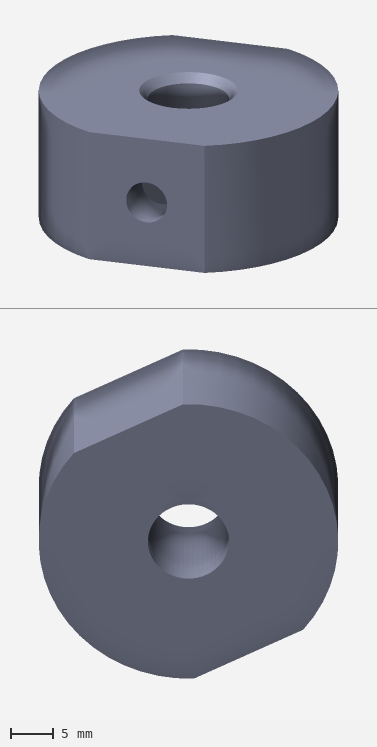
import cadquery as cq

disc_diameter = 35.0
width_across_flats = 32.0
height = 16.0

bore_diameter = 9.5
bore_chamfer = 1.0
bushing_top_depth = 2.0
bushing_outer_diameter = 15.0
bushing_length = height - bushing_top_depth

side_hole_diameter = 5.0
side_hole_depth = 6.0


def make_disc_with_flats():
    disc = cq.Workplane("XY").circle(disc_diameter / 2).extrude(height)
    flats = cq.Workplane("XY").rect(disc_diameter, width_across_flats).extrude(height)
    return disc.intersect(flats)


def make_side_hole():
    return (
        cq.Workplane("XZ", origin=(0, -width_across_flats / 2, height / 2))
        .circle(side_hole_diameter / 2)
        .extrude(-side_hole_depth)
    )


def make_chamfered_bore():
    """Revolved cutter: straight bore opening into a 45 degree chamfer at the top."""
    bore_radius = bore_diameter / 2
    return (
        cq.Workplane("XZ")
        .moveTo(0, 0)
        .lineTo(bore_radius, 0)
        .lineTo(bore_radius, height - bore_chamfer)
        .lineTo(bore_radius + bore_chamfer, height)
        .lineTo(0, height)
        .close()
        .revolve(360, (0, 0, 0), (0, 1, 0))
    )


def make_bushing_seat():
    return cq.Workplane("XY").circle(bushing_outer_diameter / 2).extrude(bushing_length)


def make_housing():
    body = make_disc_with_flats()
    body = body.cut(make_chamfered_bore())
    body = body.cut(make_bushing_seat())
    return body.cut(make_side_hole())


def make_bushing():
    """Plain sleeve filling the seat, flush with the housing's bottom face."""
    return (
        cq.Workplane("XY")
        .circle(bushing_outer_diameter / 2)
        .circle(bore_diameter / 2)
        .extrude(bushing_length)
    )


housing = make_housing()
bushing = make_bushing()

result = cq.Compound.makeCompound([housing.val(), bushing.val()])